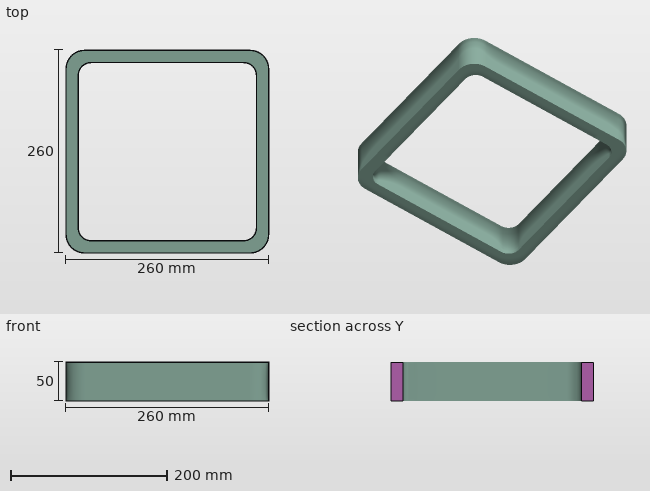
import cadquery as cq

side = 260.0
length = 50.0
wall = 16.0

outer_radius = 1.5 * wall
inner_radius = 1.0 * wall


def rounded_square_bar(width, corner_radius):
    """Square bar along Z, centred on the Z axis, with rounded upright edges."""
    bar = cq.Workplane("XY").rect(width, width).extrude(length)
    return bar.edges("|Z").fillet(corner_radius)


outer_body = rounded_square_bar(side, outer_radius)
bore = rounded_square_bar(side - 2 * wall, inner_radius)

result = outer_body.cut(bore)